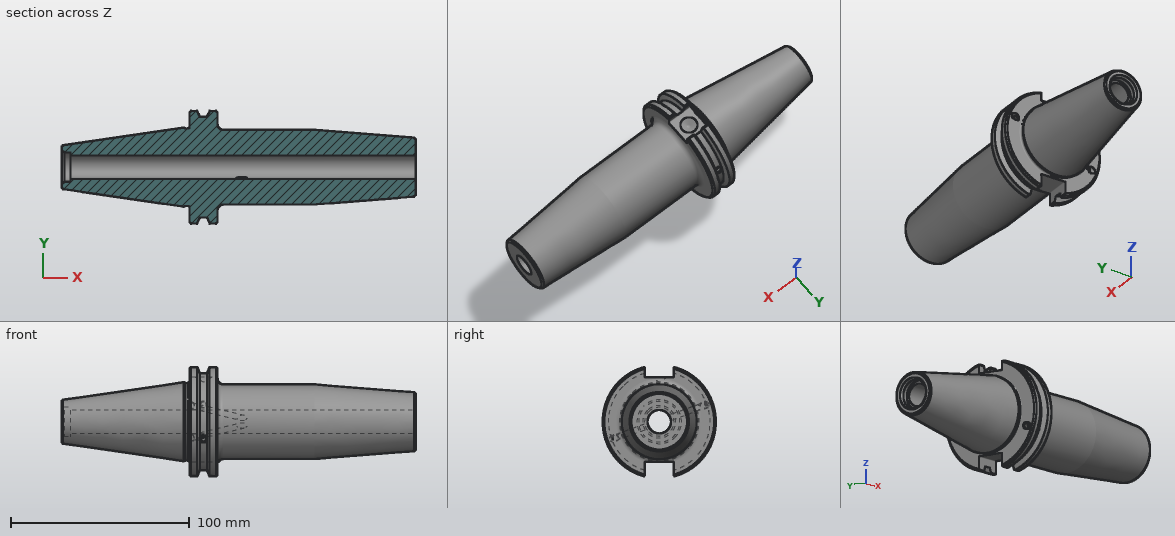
import cadquery as cq
import math

SHANK_LENGTH = 68.25
PROJECTION = 130.0
FLANGE_START = 3.2
FLANGE_END = 19.1
FRONT_CONE_START = 73.5

GAUGE_DIAMETER = 44.45
TAPER_RATIO = 7 / 24
SHANK_END_CHAMFER = 0.8
NECK_DIAMETER = 43.6
NECK_START = 1.15
NECK_FILLET = 0.8

FLANGE_DIAMETER = 63.5
FLANGE_CHAMFER = 1.0
GROOVE_CENTER = 11.1
GROOVE_TOP_WIDTH = 7.0
GROOVE_BOTTOM_WIDTH = 4.0
GROOVE_DIAMETER = 56.8

BODY_DIAMETER = 42.0
BODY_FILLET = 3.0
FRONT_CONE_ANGLE = 4.5
FRONT_END_CHAMFER = 1.0

BORE_DIAMETER = 13.0
COUNTERBORE_DIAMETER = 16.3
COUNTERBORE_DEPTH = 4.9
COUNTERBORE_CHAMFER = 1.0
COUNTERBORE_CHAMFER_LENGTH = 1.7

SLOT_WIDTH = 16.1
SLOT_FLOOR_FILLET = 0.5
SLOT_EDGE_CHAMFER = 0.6
UPPER_SLOT_FLOOR = 25.0
LOWER_SLOT_FLOOR = 22.5
DIMPLE_DIAMETER = 9.53
DIMPLE_ANGLE = 118.0

COOLANT_ANGLE = 20.0
COOLANT_PITCH_RADIUS = 27.1
COOLANT_TILT = 35.0
INCLINED_DIAMETER = 3.24
INCLINED_MOUTH_DIAMETER = 4.0
INCLINED_MOUTH_DEPTH = 2.0
RADIAL_DIAMETER = 3.24
RADIAL_MOUTH_DIAMETER = 4.2
RADIAL_MOUTH_DEPTH = 0.5


def make_body():
    """Revolve the outer profile, drawn as (axial position, radius), about X."""
    shank_end = -SHANK_LENGTH
    gauge_radius = GAUGE_DIAMETER / 2
    shank_end_radius = gauge_radius - SHANK_LENGTH * TAPER_RATIO / 2
    chamfer_back_radius = shank_end_radius + SHANK_END_CHAMFER * TAPER_RATIO / 2
    neck_radius = NECK_DIAMETER / 2
    flange_radius = FLANGE_DIAMETER / 2
    groove_radius = GROOVE_DIAMETER / 2
    groove_half_bottom = GROOVE_BOTTOM_WIDTH / 2
    groove_half_top = GROOVE_TOP_WIDTH / 2
    body_radius = BODY_DIAMETER / 2
    cone_slope = math.tan(math.radians(FRONT_CONE_ANGLE))
    front_end_radius = body_radius - (PROJECTION - FRONT_CONE_START) * cone_slope
    front_chamfer_start = PROJECTION - FRONT_END_CHAMFER
    front_chamfer_radius = front_end_radius + FRONT_END_CHAMFER * cone_slope

    profile = (
        cq.Workplane("XY")
        .moveTo(shank_end, 0)
        .lineTo(shank_end, shank_end_radius - SHANK_END_CHAMFER)
        .lineTo(shank_end + SHANK_END_CHAMFER, chamfer_back_radius)
        .lineTo(0, gauge_radius)
        .lineTo(NECK_START, neck_radius)
        .lineTo(FLANGE_START - NECK_FILLET, neck_radius)
        .radiusArc((FLANGE_START, neck_radius + NECK_FILLET), -NECK_FILLET)
        .lineTo(FLANGE_START, flange_radius - FLANGE_CHAMFER)
        .lineTo(FLANGE_START + FLANGE_CHAMFER, flange_radius)
        .lineTo(GROOVE_CENTER - groove_half_top, flange_radius)
        .lineTo(GROOVE_CENTER - groove_half_bottom, groove_radius)
        .lineTo(GROOVE_CENTER + groove_half_bottom, groove_radius)
        .lineTo(GROOVE_CENTER + groove_half_top, flange_radius)
        .lineTo(FLANGE_END - FLANGE_CHAMFER, flange_radius)
        .lineTo(FLANGE_END, flange_radius - FLANGE_CHAMFER)
        .lineTo(FLANGE_END, body_radius + BODY_FILLET)
        .radiusArc((FLANGE_END + BODY_FILLET, body_radius), -BODY_FILLET)
        .lineTo(FRONT_CONE_START, body_radius)
        .lineTo(front_chamfer_start, front_chamfer_radius)
        .lineTo(PROJECTION, front_end_radius - FRONT_END_CHAMFER)
        .lineTo(PROJECTION, 0)
        .close()
    )
    return profile.revolve(360, (0, 0, 0), (1, 0, 0))


def make_bore():
    """Through bore with a chamfered counterbore at the shank end."""
    shank_end = -SHANK_LENGTH
    counterbore_radius = COUNTERBORE_DIAMETER / 2
    bore_radius = BORE_DIAMETER / 2
    profile = (
        cq.Workplane("XY")
        .moveTo(shank_end, 0)
        .lineTo(shank_end, counterbore_radius + COUNTERBORE_CHAMFER)
        .lineTo(shank_end + COUNTERBORE_CHAMFER_LENGTH, counterbore_radius)
        .lineTo(shank_end + COUNTERBORE_DEPTH, counterbore_radius)
        .lineTo(shank_end + COUNTERBORE_DEPTH, bore_radius)
        .lineTo(PROJECTION, bore_radius)
        .lineTo(PROJECTION, 0)
        .close()
    )
    return profile.revolve(360, (0, 0, 0), (1, 0, 0))


def make_drive_slot(floor):
    """Slot above the axis, cut across the flange and the fillet behind it.

    The floor corners are rounded and the edges at the flange rim are chamfered.
    """
    half_width = SLOT_WIDTH / 2
    rim_half_width = half_width + SLOT_EDGE_CHAMFER
    flange_radius = FLANGE_DIAMETER / 2
    rim_height = math.sqrt(flange_radius**2 - rim_half_width**2)
    section = (
        cq.Workplane("YZ", origin=(FLANGE_START, 0, 0))
        .moveTo(-rim_half_width, flange_radius)
        .lineTo(-rim_half_width, rim_height)
        .lineTo(-half_width, rim_height - SLOT_EDGE_CHAMFER)
        .lineTo(-half_width, floor + SLOT_FLOOR_FILLET)
        .radiusArc((-half_width + SLOT_FLOOR_FILLET, floor), -SLOT_FLOOR_FILLET)
        .lineTo(half_width - SLOT_FLOOR_FILLET, floor)
        .radiusArc((half_width, floor + SLOT_FLOOR_FILLET), -SLOT_FLOOR_FILLET)
        .lineTo(half_width, rim_height - SLOT_EDGE_CHAMFER)
        .lineTo(rim_half_width, rim_height)
        .lineTo(rim_half_width, flange_radius)
        .close()
    )
    return section.extrude(FLANGE_END + BODY_FILLET - FLANGE_START)


def make_dimple():
    """Conical dimple in the floor of the upper slot."""
    radius = DIMPLE_DIAMETER / 2
    depth = radius / math.tan(math.radians(DIMPLE_ANGLE / 2))
    tip = cq.Vector(GROOVE_CENTER, 0, UPPER_SLOT_FLOOR - depth)
    return cq.Workplane(obj=cq.Solid.makeCone(0, radius, depth, tip, cq.Vector(0, 0, 1)))


def make_stepped_hole(entry, direction, mouth_diameter, mouth_depth, diameter, depth):
    """Hole with a wider mouth; both depths count from entry, and the mouth also extends outward."""
    outside = entry - direction * mouth_diameter
    mouth = cq.Solid.makeCylinder(mouth_diameter / 2, mouth_diameter + mouth_depth, outside, direction)
    core = cq.Solid.makeCylinder(diameter / 2, depth, entry, direction)
    return mouth.fuse(core)


def make_coolant_holes(angle):
    """Inclined hole from the flange face to the bore and radial hole that meets it from the groove."""
    tilt = math.radians(COOLANT_TILT)
    inclined = make_stepped_hole(
        cq.Vector(FLANGE_START, COOLANT_PITCH_RADIUS, 0),
        cq.Vector(math.cos(tilt), -math.sin(tilt), 0),
        INCLINED_MOUTH_DIAMETER,
        INCLINED_MOUTH_DEPTH,
        INCLINED_DIAMETER,
        COOLANT_PITCH_RADIUS / math.sin(tilt),
    )
    groove_radius = GROOVE_DIAMETER / 2
    meeting_radius = COOLANT_PITCH_RADIUS - (GROOVE_CENTER - FLANGE_START) * math.tan(tilt)
    radial = make_stepped_hole(
        cq.Vector(GROOVE_CENTER, groove_radius, 0),
        cq.Vector(0, -1, 0),
        RADIAL_MOUTH_DIAMETER,
        RADIAL_MOUTH_DEPTH,
        RADIAL_DIAMETER,
        groove_radius - meeting_radius,
    )
    return cq.Workplane(obj=inclined.fuse(radial)).rotate((0, 0, 0), (1, 0, 0), angle)


result = make_body().cut(make_bore())
result = result.cut(make_drive_slot(UPPER_SLOT_FLOOR))
result = result.cut(make_drive_slot(LOWER_SLOT_FLOOR).rotate((0, 0, 0), (1, 0, 0), 180))
result = result.cut(make_dimple())
for half_turn in (0, 180):
    result = result.cut(make_coolant_holes(COOLANT_ANGLE + half_turn))